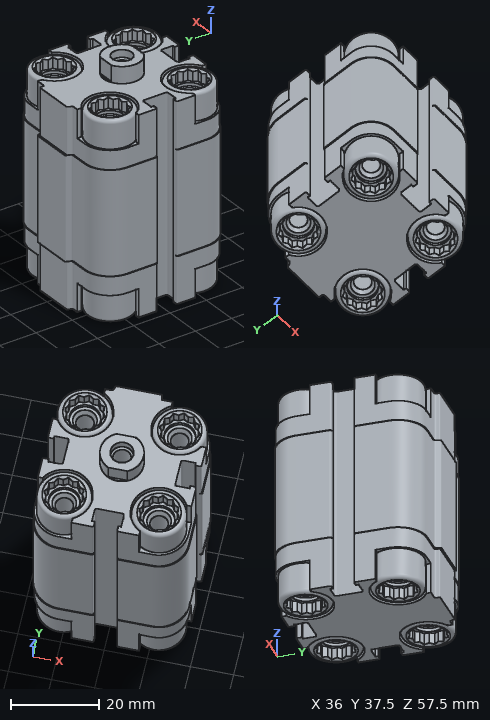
import cadquery as cq
import math

TOTAL_HEIGHT = 57.5
HOUSING_HEIGHT = 53.0
CAP_HEIGHT = 12.6

HOUSING_WIDTH = 36.0
CORNERS = 4
SCREW_OFFSET = 11.0
CAP_INSET = 0.2
HALF_WIDTH = HOUSING_WIDTH / 2
CORNER_RADIUS = HALF_WIDTH - SCREW_OFFSET

TONGUE_HEIGHT = 1.5
TONGUE_TOP_WIDTH = 11.15
TONGUE_BASE_WIDTH = 12.1
TONGUE_CAP_DROP = 0.4
TONGUE_CAP_FLANK = 5.2
TONGUE_TOP_FILLET = 0.3
TONGUE_ROOT_FILLET = 0.5

SLOT_ANGLES = (0, 90, 270)
SLOT_MOUTH_WIDTH = 5.4
SLOT_ROOM_WIDTH = 6.8
SLOT_DEPTH = 5.0
SLOT_LIP = 1.6
SLOT_MOUTH_ROUND = 0.4
SLOT_ROOM_FILLET = 0.5

POCKET_DEPTH = 7.55
POCKET_DIAMETER = 13.0
POCKET_CORNER_EDGE = 7.8
HEAD_DIAMETER = 12.5
HEAD_FILLET = 1.0

SOCKET_FLATS = 8.0
SOCKET_DEPTH = 3.1
SOCKET_POINTS_DIAMETER = SOCKET_FLATS / math.cos(math.radians(30))
COUNTERSINK_DIAMETER = 10.0
COUNTERBORE_DIAMETER = 7.2
COUNTERBORE_DEPTH = 0.85
CONE_DIAMETER = 5.5
SCREW_HOLE_DIAMETER = 4.15
SHALLOW_SLOPE = math.tan(math.radians(30))
STEEP_SLOPE = math.tan(math.radians(60))

ROD_DIAMETER = 10.0
ROD_SEAT_DEPTH = 10.0
ROD_FLATS = 8.95
ROD_FLAT_START = 0.25
ROD_BORE_DIAMETER = 5.3
ROD_BORE_DEPTH = 2.0
ROD_HOLE_DIAMETER = 4.15
ROD_HOLE_DEPTH = 8.05
DRILL_POINT_ANGLE = 118.0


def cylinder(diameter, z_low, z_high):
    """Cylinder on the Z axis."""
    return cq.Workplane("XY").workplane(offset=z_low).circle(diameter / 2).extrude(z_high - z_low)


def cone(top_diameter, bottom_diameter, z_top, slope):
    """Cone on the Z axis that narrows downward from z_top, falling by slope per unit of radius."""
    top_radius = top_diameter / 2
    bottom_radius = bottom_diameter / 2
    z_bottom = z_top - (top_radius - bottom_radius) * slope
    outline = cq.Workplane("XZ").moveTo(0, z_top).lineTo(top_radius, z_top)
    outline = outline.lineTo(bottom_radius, z_bottom)
    if bottom_radius > 0:
        outline = outline.lineTo(0, z_bottom)
    return outline.close().revolve(360, (0, 0), (0, 1))


def profile_bar(z_low, z_high, inset, tongue_drop, tip_right, root_right):
    """Length of the housing profile: a rounded square with the tongue on its +Y side.

    The tongue's +X flank runs from tip_right at its top to root_right at its base.
    """
    length = z_high - z_low
    plane = cq.Workplane("XY").workplane(offset=z_low)
    face = HALF_WIDTH - inset
    tip = HALF_WIDTH + TONGUE_HEIGHT - tongue_drop
    half_top = TONGUE_TOP_WIDTH / 2
    half_base = TONGUE_BASE_WIDTH / 2
    tip_corners = [(-half_top, tip), (tip_right, tip)]
    root_corners = [(root_right, face), (-half_base, face)]
    square = plane.rect(2 * face, 2 * face).extrude(length).edges("|Z").fillet(CORNER_RADIUS - inset)
    tongue = plane.polyline([
        *tip_corners, (root_right, face), (root_right, 0), (-half_base, 0), (-half_base, face),
    ]).close().extrude(length)
    bar = square.union(tongue)
    for corners, radius in ((tip_corners, TONGUE_TOP_FILLET), (root_corners, TONGUE_ROOT_FILLET)):
        for x, y in corners:
            edge = cq.selectors.NearestToPointSelector((x, y, z_low + length / 2))
            bar = bar.edges("|Z").edges(edge).fillet(radius)
    return bar


def slot_cutter(z_low, z_high, inset):
    """T-slot on the -Y side with rounded mouth edges."""
    length = z_high - z_low
    face = HALF_WIDTH - inset
    plane = cq.Workplane("XY").workplane(offset=z_low)
    half_mouth = SLOT_MOUTH_WIDTH / 2
    half_flare = half_mouth + SLOT_MOUTH_ROUND
    room_outer = -(HALF_WIDTH - SLOT_LIP)
    room_inner = -(HALF_WIDTH - SLOT_DEPTH)
    round_start = -face + SLOT_MOUTH_ROUND
    arc_shift = SLOT_MOUTH_ROUND * (1 - math.sqrt(0.5))
    mouth = (
        plane.moveTo(-half_mouth, room_inner)
        .lineTo(-half_mouth, round_start)
        .threePointArc((-half_mouth - arc_shift, -face + arc_shift), (-half_flare, -face))
        .lineTo(half_flare, -face)
        .threePointArc((half_mouth + arc_shift, -face + arc_shift), (half_mouth, round_start))
        .lineTo(half_mouth, room_inner)
        .close().extrude(length)
    )
    room = (
        plane.center(0, (room_outer + room_inner) / 2)
        .rect(SLOT_ROOM_WIDTH, room_inner - room_outer).extrude(length)
        .edges("|Z and >Y").fillet(SLOT_ROOM_FILLET)
    )
    return mouth.union(room)


def slotted_bar(z_low, z_high, inset, tongue_drop, tip_right, root_right):
    """Length of the housing profile with its three T-slots."""
    bar = profile_bar(z_low, z_high, inset, tongue_drop, tip_right, root_right)
    cutter = slot_cutter(z_low, z_high, inset)
    for angle in SLOT_ANGLES:
        bar = bar.cut(cutter.rotate((0, 0, 0), (0, 0, 1), angle))
    return bar


def corner_pocket():
    """Pocket around the upper +X +Y screw head, open to both sides of the corner."""
    floor = HOUSING_HEIGHT - POCKET_DEPTH
    reach = HALF_WIDTH - POCKET_CORNER_EDGE
    around_head = cylinder(POCKET_DIAMETER, floor, HOUSING_HEIGHT).translate((SCREW_OFFSET, SCREW_OFFSET, 0))
    to_corner = cq.Workplane("XY").box(reach, reach, POCKET_DEPTH, centered=False)
    return around_head.union(to_corner.translate((POCKET_CORNER_EDGE, POCKET_CORNER_EDGE, floor)))


def screw_head():
    """Upper +X +Y screw head."""
    head = cylinder(HEAD_DIAMETER, HOUSING_HEIGHT - POCKET_DEPTH, HOUSING_HEIGHT)
    return head.faces(">Z").edges().fillet(HEAD_FILLET).translate((SCREW_OFFSET, SCREW_OFFSET, 0))


def screw_socket():
    """Socket and hole of the upper +X +Y screw, down to half the housing height."""
    socket_floor = HOUSING_HEIGHT - SOCKET_DEPTH
    counterbore_floor = socket_floor - COUNTERBORE_DEPTH
    socket = cylinder(SCREW_HOLE_DIAMETER, HOUSING_HEIGHT / 2, HOUSING_HEIGHT)
    hexagon = cq.Workplane("XY").workplane(offset=socket_floor).polygon(6, SOCKET_POINTS_DIAMETER)
    hexagon = hexagon.extrude(SOCKET_DEPTH)
    for angle in (0, 30):
        socket = socket.union(hexagon.rotate((0, 0, 0), (0, 0, 1), angle))
    socket = socket.union(cone(COUNTERSINK_DIAMETER, COUNTERBORE_DIAMETER, HOUSING_HEIGHT, SHALLOW_SLOPE))
    socket = socket.union(cylinder(COUNTERBORE_DIAMETER, counterbore_floor, socket_floor))
    socket = socket.union(cone(CONE_DIAMETER, SCREW_HOLE_DIAMETER, counterbore_floor, STEEP_SLOPE))
    return socket.translate((SCREW_OFFSET, SCREW_OFFSET, 0))


def at_all_corners(shape):
    """Copies of an upper +X +Y feature at the four corners of both ends."""
    middle = (0, 0, HOUSING_HEIGHT / 2)
    lower = shape.mirror("XY", middle)
    for feature in (shape, lower):
        for corner in range(CORNERS):
            yield feature.rotate((0, 0, 0), (0, 0, 1), corner * 360 / CORNERS)


def make_housing():
    """Barrel between two end caps, with screw heads in the corners and a seat for the rod."""
    upper_cap = HOUSING_HEIGHT - CAP_HEIGHT
    barrel = slotted_bar(CAP_HEIGHT, upper_cap, 0, 0, TONGUE_TOP_WIDTH / 2, TONGUE_BASE_WIDTH / 2)
    housing = barrel
    for z_low, z_high in ((0, CAP_HEIGHT), (upper_cap, HOUSING_HEIGHT)):
        cap = slotted_bar(
            z_low, z_high, CAP_INSET, TONGUE_CAP_DROP, TONGUE_CAP_FLANK, TONGUE_CAP_FLANK)
        housing = housing.union(cap)
    for pocket in at_all_corners(corner_pocket()):
        housing = housing.cut(pocket)
    for head in at_all_corners(screw_head()):
        housing = housing.union(head)
    for socket in at_all_corners(screw_socket()):
        housing = housing.cut(socket)
    return housing.cut(cylinder(ROD_DIAMETER, HOUSING_HEIGHT - ROD_SEAT_DEPTH, HOUSING_HEIGHT))


def make_rod():
    """Piston rod end with two wrench flats and a stepped blind hole."""
    rod = cylinder(ROD_DIAMETER, HOUSING_HEIGHT - ROD_SEAT_DEPTH, TOTAL_HEIGHT)
    flat_start = HOUSING_HEIGHT + ROD_FLAT_START
    flatted_end = cq.Workplane("XY").workplane(offset=flat_start).rect(ROD_DIAMETER, ROD_FLATS)
    flatted_end = flatted_end.extrude(TOTAL_HEIGHT - flat_start)
    rod = rod.intersect(cylinder(ROD_DIAMETER, 0, flat_start).union(flatted_end))
    bore_floor = TOTAL_HEIGHT - ROD_BORE_DEPTH
    hole_floor = TOTAL_HEIGHT - ROD_HOLE_DEPTH
    drill_slope = 1 / math.tan(math.radians(DRILL_POINT_ANGLE / 2))
    rod = rod.cut(cylinder(ROD_BORE_DIAMETER, bore_floor, TOTAL_HEIGHT))
    rod = rod.cut(cone(ROD_BORE_DIAMETER, ROD_HOLE_DIAMETER, bore_floor, SHALLOW_SLOPE))
    rod = rod.cut(cylinder(ROD_HOLE_DIAMETER, hole_floor, bore_floor))
    return rod.cut(cone(ROD_HOLE_DIAMETER, 0, hole_floor, drill_slope))


housing = make_housing()
piston_rod = make_rod()

result = cq.Compound.makeCompound([housing.val(), piston_rod.val()])